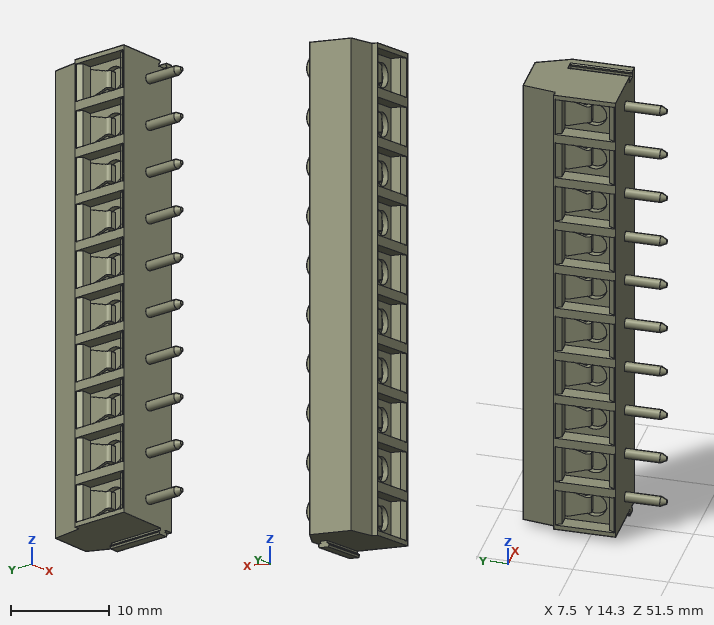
import cadquery as cq

overall_height = 51.5
rail_height = 0.65
cells = 10
row_height = overall_height - rail_height
pitch = row_height / cells

body_width = 7.5
body_depth = 10.0
shoulder_y = 6.5
cap_base_x = 0.6
cap_left_x = 1.15
cap_right_x = 5.9

pocket_height = 4.05
pocket_floor_x = 1.55
pocket_low_y = 0.75
pocket_high_y = 5.7
pocket_lip_x = 0.1
pocket_flare_x = 0.4
pocket_flare_y = 0.6
wire_hole_radius = 1.3
wire_hole_y = 2.6
wire_hole_bottom_x = 2.15

tongue_top_x = 1.25
tongue_end_y = 2.95
tongue_bend_radius = 0.45
tongue_end_drop = 0.3
tongue_wide = 3.35
tongue_narrow = 1.85
tongue_taper_end_y = tongue_end_y + tongue_bend_radius

screw_x = 5.0
screw_radius = 1.6
screw_top_y = 9.35

pin_x = 3.95
pin_radius = 0.5
pin_length = 4.3
pin_tip_length = 0.6
pin_tip_radius = 0.2

rail_x = 6.2
rail_neck = 0.75
rail_wide = 1.25
rail_foot = 1.05
rail_neck_height = 0.2
rail_flank_depth = 0.35
rail_edge_depth = 0.45
slot_depth = 0.65
slot_mouth = 1.1
slot_mouth_depth = 0.1
slot_flank_depth = 0.4


def make_housing():
    outline = [
        (0, 0),
        (body_width, 0),
        (body_width, shoulder_y),
        (cap_right_x, body_depth),
        (cap_left_x, body_depth),
        (cap_base_x, shoulder_y),
        (0, shoulder_y),
    ]
    return cq.Workplane("XY").polyline(outline).close().extrude(row_height)


def make_pocket(z):
    """Flared pocket with a round wire hole in its floor."""
    outline = [
        (0, pocket_low_y - pocket_flare_y),
        (pocket_lip_x, pocket_low_y - pocket_flare_y),
        (pocket_flare_x, pocket_low_y),
        (pocket_floor_x, pocket_low_y),
        (pocket_floor_x, pocket_high_y),
        (pocket_flare_x, pocket_high_y),
        (pocket_lip_x, pocket_high_y + pocket_flare_y),
        (0, pocket_high_y + pocket_flare_y),
    ]
    pocket = (
        cq.Workplane("XY", origin=(0, 0, z - pocket_height / 2))
        .polyline(outline).close().extrude(pocket_height)
    )
    wire_hole = (
        cq.Workplane("YZ", origin=(pocket_floor_x, wire_hole_y, z))
        .circle(wire_hole_radius).extrude(wire_hole_bottom_x - pocket_floor_x)
    )
    return pocket.union(wire_hole)


def make_tongue(z):
    """Tapered tongue with curved ends, reaching down to the wire hole bottom."""
    half_wide = tongue_wide / 2
    half_narrow = tongue_narrow / 2
    outline = [
        (pocket_high_y, half_wide),
        (tongue_taper_end_y, half_narrow),
        (tongue_end_y, half_narrow),
        (tongue_end_y, -half_narrow),
        (tongue_taper_end_y, -half_narrow),
        (pocket_high_y, -half_wide),
    ]
    plan = (
        cq.Workplane("YZ", origin=(tongue_top_x, 0, z))
        .polyline(outline).close().extrude(wire_hole_bottom_x - tongue_top_x)
    )
    side = (
        cq.Workplane("XY", origin=(0, 0, z - half_wide))
        .moveTo(wire_hole_bottom_x, pocket_high_y)
        .lineTo(tongue_top_x + tongue_bend_radius, pocket_high_y)
        .radiusArc((tongue_top_x, pocket_high_y - tongue_bend_radius), -tongue_bend_radius)
        .lineTo(tongue_top_x, tongue_taper_end_y)
        .tangentArcPoint((tongue_top_x + tongue_end_drop, tongue_end_y), relative=False)
        .lineTo(wire_hole_bottom_x, tongue_end_y)
        .close().extrude(tongue_wide)
    )
    return plan.intersect(side)


def make_screw(z):
    return (
        cq.Workplane("XZ", origin=(screw_x, screw_top_y, z))
        .circle(screw_radius).extrude(screw_top_y - shoulder_y)
    )


def make_pin(z):
    """Round pin with a tapered tip, pointing along -Y."""
    profile = [
        (0, 0),
        (pin_radius, 0),
        (pin_radius, pin_tip_length - pin_length),
        (pin_tip_radius, -pin_length),
        (0, -pin_length),
    ]
    return (
        cq.Workplane("XY", origin=(pin_x, 0, z))
        .polyline(profile).close().revolve(360, (0, 0), (0, 1))
    )


def extrude_along_shoulder(outline, z):
    """Extrude an X-Z outline centred on the rail from Y = 0 to the shoulder."""
    return (
        cq.Workplane("XZ", origin=(rail_x, 0, z))
        .polyline(outline).close().extrude(-shoulder_y)
    )


def make_rail():
    outline = [
        (-rail_neck / 2, 0),
        (-rail_neck / 2, -rail_neck_height),
        (-rail_wide / 2, -rail_flank_depth),
        (-rail_wide / 2, -rail_edge_depth),
        (-rail_foot / 2, -rail_height),
        (rail_foot / 2, -rail_height),
        (rail_wide / 2, -rail_edge_depth),
        (rail_wide / 2, -rail_flank_depth),
        (rail_neck / 2, -rail_neck_height),
        (rail_neck / 2, 0),
    ]
    return extrude_along_shoulder(outline, 0)


def make_slot():
    outline = [
        (-slot_mouth / 2, 0),
        (-rail_neck / 2, -slot_mouth_depth),
        (-rail_wide / 2, -slot_flank_depth),
        (-rail_wide / 2, -slot_depth),
        (rail_wide / 2, -slot_depth),
        (rail_wide / 2, -slot_flank_depth),
        (rail_neck / 2, -slot_mouth_depth),
        (slot_mouth / 2, 0),
    ]
    return extrude_along_shoulder(outline, row_height)


result = make_housing().cut(make_slot()).union(make_rail())
for cell in range(cells):
    cell_z = (cell + 0.5) * pitch
    result = result.cut(make_pocket(cell_z)).union(make_tongue(cell_z))
    result = result.union(make_screw(cell_z)).union(make_pin(cell_z))